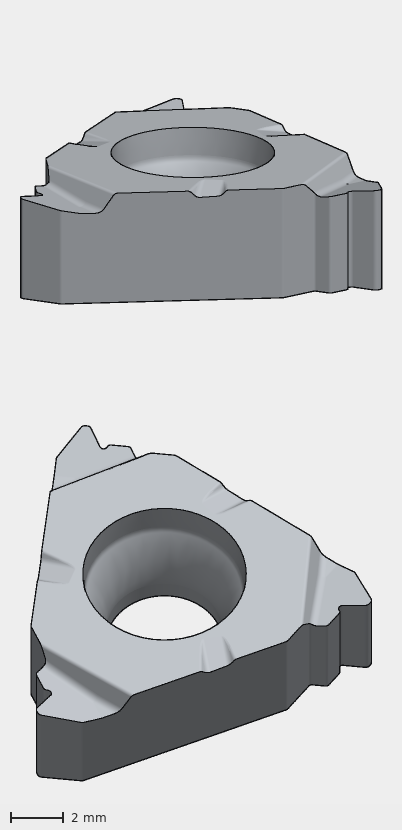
import cadquery as cq
import math

OVERALL_LENGTH = 13.73
THICKNESS = 4.35
SIDE_DISTANCE = 4.75
TIP_ANGLES = (0, -120, -240)

FLANK_SLOPE = math.tan(math.radians(60))
TIP_HEIGHT = 6.89
NOSE_POINT = 7.14
NOSE_RADIUS = 0.19
RELIEF_BOTTOM = 6.0
RELIEF_RADIUS = 0.15
SHOULDER_HEIGHT = 6.19
SHOULDER_END_X = -2.02
SHOULDER_RADIUS = 0.14
BASE_HEIGHT = 5.62
BASE_RADIUS = 0.12
SIDE_CORNER_RADIUS = 0.2

TIP_DROP = 0.38
RAKE_ANGLE = 10.0
RAKE_END = 4.67
WALL_DIRECTION = 32.0
WALL_ANGLE = 60.0
WALL_DISTANCE = 5.4
WALL_TOP_RADIUS = 0.16
FLOOR_RADIUS = 0.33

NOTCH_FLOOR_WIDTH = 0.65
NOTCH_DIRECTION = -13.5
NOTCH_RAMP = 10.5
NOTCH_END = (-3.46, -0.5)
NOTCH_WALL_ANGLE = 45.0
NOTCH_FLOOR_RADIUS = 0.29
NOTCH_RIM_RADIUS = 0.16

HOLE_RADIUS = 2.2
HOLE_STRAIGHT_TOP = 0.75
SEAT_RADIUS = 3.85
SEAT_ANGLE = 36.0
SEAT_FILLET = 0.48
MOUTH_TAPER = 4.0

CUT_SIZE = 8.24


def rotated(point, angle):
    """Turn a plan point about the hole axis."""
    c = math.cos(math.radians(angle))
    s = math.sin(math.radians(angle))
    return (c * point[0] - s * point[1], s * point[0] + c * point[1])


def rounded_outline(corners):
    """Closed outline through (point, radius) corners, each rounded by a tangent arc."""
    arcs = []
    for i, (corner, radius) in enumerate(corners):
        vertex = cq.Vector(*corner)
        back = (cq.Vector(*corners[i - 1][0]) - vertex).normalized()
        ahead = (cq.Vector(*corners[(i + 1) % len(corners)][0]) - vertex).normalized()
        half_angle = back.getAngle(ahead) / 2
        setback = radius / math.tan(half_angle)
        to_arc = radius / math.sin(half_angle) - radius
        middle = vertex + (back + ahead).normalized() * to_arc
        arcs.append((vertex + back * setback, middle, vertex + ahead * setback))
    outline = cq.Workplane().moveTo(*arcs[0][0].toTuple()[:2])
    for i, (start, middle, end) in enumerate(arcs):
        if i > 0:
            outline = outline.lineTo(start.x, start.y)
        outline = outline.threePointArc((middle.x, middle.y), (end.x, end.y))
    return outline.close()


def tip_corners():
    """Corners of the reference tip, clockwise from the long side at -X."""
    flank_distance = OVERALL_LENGTH - TIP_HEIGHT
    sin60, cos60 = math.sin(math.radians(60)), math.cos(math.radians(60))
    nose_x = (cos60 * NOSE_POINT - flank_distance) / sin60
    nose_half = (NOSE_POINT - TIP_HEIGHT) / FLANK_SLOPE
    relief_y = RELIEF_BOTTOM - RELIEF_RADIUS
    relief_x = nose_x + (NOSE_POINT - relief_y) / FLANK_SLOPE
    shoulder_x = relief_x + (SHOULDER_HEIGHT - relief_y) / FLANK_SLOPE
    base_x = SHOULDER_END_X + (SHOULDER_HEIGHT - BASE_HEIGHT) / FLANK_SLOPE
    side_x = (SIDE_DISTANCE - sin60 * BASE_HEIGHT) / cos60
    flank_y = NOSE_POINT - (nose_x + SIDE_DISTANCE) * FLANK_SLOPE
    return [
        ((-SIDE_DISTANCE, flank_y), SIDE_CORNER_RADIUS),
        ((nose_x - nose_half, TIP_HEIGHT), NOSE_RADIUS),
        ((nose_x + nose_half, TIP_HEIGHT), NOSE_RADIUS),
        ((relief_x, relief_y), RELIEF_RADIUS),
        ((shoulder_x, SHOULDER_HEIGHT), SHOULDER_RADIUS),
        ((SHOULDER_END_X, SHOULDER_HEIGHT), SHOULDER_RADIUS),
        ((base_x, BASE_HEIGHT), BASE_RADIUS),
        ((side_x, BASE_HEIGHT), SIDE_CORNER_RADIUS),
    ]


def plate():
    """Flat plate with the full outline of the three tips."""
    corners = []
    for angle in TIP_ANGLES:
        for point, radius in tip_corners():
            corners.append((rotated(point, angle), radius))
    return rounded_outline(corners).extrude(THICKNESS)


def chip_breaker():
    """Space above the rake face and outside the sloping wall of the reference tip."""
    wall = math.radians(WALL_ANGLE)
    setback = WALL_TOP_RADIUS * math.tan(wall / 2)
    inner = WALL_DISTANCE - setback
    middle = (inner + WALL_TOP_RADIUS * math.sin(wall / 2), -WALL_TOP_RADIUS * (1 - math.cos(wall / 2)))
    wall_start = (WALL_DISTANCE + setback * math.cos(wall), -setback * math.sin(wall))
    wall_depth = THICKNESS / 2
    space = (
        cq.Workplane("YZ", origin=(0, 0, THICKNESS))
        .moveTo(inner, 0)
        .threePointArc(middle, wall_start)
        .lineTo(WALL_DISTANCE + wall_depth / math.tan(wall), -wall_depth)
        .lineTo(2 * CUT_SIZE, -wall_depth)
        .lineTo(2 * CUT_SIZE, THICKNESS)
        .lineTo(inner, THICKNESS)
        .close()
        .extrude(CUT_SIZE, both=True)
        .rotate((0, 0, 0), (0, 0, 1), WALL_DIRECTION)
    )
    rake = math.tan(math.radians(RAKE_ANGLE))
    floor_z = THICKNESS - TIP_DROP - (TIP_HEIGHT - RAKE_END) * rake
    far_y = 2 * CUT_SIZE
    above_floor = (
        cq.Workplane("YZ")
        .moveTo(-CUT_SIZE, floor_z)
        .lineTo(RAKE_END, floor_z)
        .lineTo(far_y, floor_z + (far_y - RAKE_END) * rake)
        .lineTo(far_y, 2 * THICKNESS)
        .lineTo(-CUT_SIZE, 2 * THICKNESS)
        .close()
        .extrude(2 * CUT_SIZE, both=True)
    )
    return (
        space.intersect(above_floor)
        .vertices(cq.selectors.NearestToPointSelector((0, RAKE_END, floor_z)))
        .ancestors("Edge")
        .fillet(FLOOR_RADIUS)
    )


def side_notch():
    """Ramp cut that deepens from its end line outward through the long side at -X."""
    wall = math.radians(NOTCH_WALL_ANGLE)
    half_floor = NOTCH_FLOOR_WIDTH / 2
    arc_width = NOTCH_FLOOR_RADIUS * math.sin(wall)
    arc_height = NOTCH_FLOOR_RADIUS * (1 - math.cos(wall))
    arc_middle = (
        half_floor + NOTCH_FLOOR_RADIUS * math.sin(wall / 2),
        NOTCH_FLOOR_RADIUS * (1 - math.cos(wall / 2)),
    )
    rise = THICKNESS / 4
    top_half = half_floor + arc_width + (rise - arc_height) / math.tan(wall)
    section = (
        cq.Workplane("YZ")
        .moveTo(-half_floor, 0)
        .lineTo(half_floor, 0)
        .threePointArc(arc_middle, (half_floor + arc_width, arc_height))
        .lineTo(top_half, rise)
        .lineTo(-top_half, rise)
        .lineTo(-half_floor - arc_width, arc_height)
        .threePointArc((-arc_middle[0], arc_middle[1]), (-half_floor, 0))
        .close()
    )
    ramp = (
        section.extrude(CUT_SIZE, both=True)
        .rotate((0, 0, 0), (0, 1, 0), -NOTCH_RAMP)
        .rotate((0, 0, 0), (0, 0, 1), NOTCH_DIRECTION)
        .translate((*NOTCH_END, THICKNESS))
    )
    block = cq.Workplane().box(2 * CUT_SIZE, CUT_SIZE, THICKNESS, centered=(True, True, False))
    rounded_notch = (
        block.cut(ramp)
        .faces(">Z")
        .edges("not(<X or >X or <Y or >Y)")
        .fillet(NOTCH_RIM_RADIUS)
    )
    return block.cut(rounded_notch)


def screw_hole():
    """Straight bore, convex seat, small fillet and slightly tapered mouth, turned about Z."""
    def seat_point(angle):
        a = math.radians(angle)
        return (
            HOLE_RADIUS + SEAT_RADIUS * (1 - math.cos(a)),
            HOLE_STRAIGHT_TOP + SEAT_RADIUS * math.sin(a),
        )

    seat_end = seat_point(SEAT_ANGLE)

    def fillet_point(angle):
        a = math.radians(angle)
        seat = math.radians(SEAT_ANGLE)
        return (
            seat_end[0] + SEAT_FILLET * (math.cos(a) - math.cos(seat)),
            seat_end[1] + SEAT_FILLET * (math.sin(seat) - math.sin(a)),
        )

    mouth_start = fillet_point(MOUTH_TAPER)
    mouth_radius = mouth_start[0] + (THICKNESS - mouth_start[1]) * math.tan(math.radians(MOUTH_TAPER))
    return (
        cq.Workplane("XZ")
        .lineTo(HOLE_RADIUS, 0)
        .lineTo(HOLE_RADIUS, HOLE_STRAIGHT_TOP)
        .threePointArc(seat_point(SEAT_ANGLE / 2), seat_end)
        .threePointArc(fillet_point((SEAT_ANGLE + MOUTH_TAPER) / 2), mouth_start)
        .lineTo(mouth_radius, THICKNESS)
        .lineTo(0, THICKNESS)
        .close()
        .revolve(360, (0, 0, 0), (0, 1, 0))
    )


result = plate().cut(screw_hole())
for cutter in (chip_breaker(), side_notch()):
    for angle in TIP_ANGLES:
        result = result.cut(cutter.rotate((0, 0, 0), (0, 0, 1), angle))